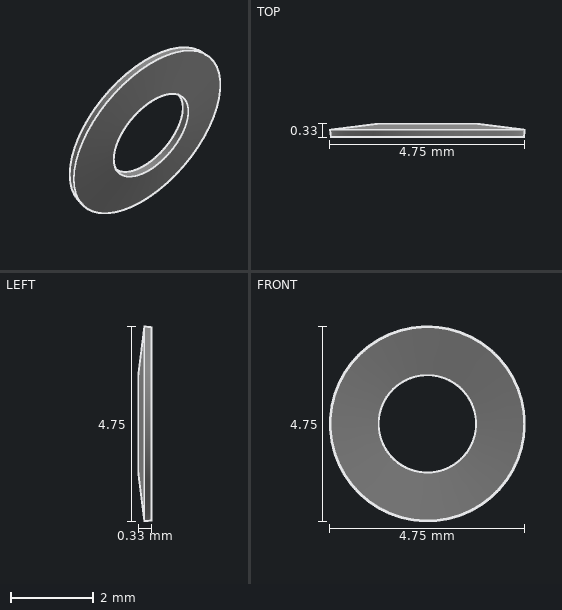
import cadquery as cq

outer_radius = 2.375
bore_radius = 1.185
total_height = 0.33
rim_height = 0.18

cone_rise = total_height - rim_height
cone_slope = cone_rise / (outer_radius - bore_radius)
edge_lean = rim_height * cone_slope

base_y = -total_height / 2
section = [
    (outer_radius - edge_lean, base_y),
    (outer_radius, base_y + rim_height),
    (bore_radius + edge_lean, base_y + total_height),
    (bore_radius, base_y + cone_rise),
]

result = cq.Workplane("XY").polyline(section).close().revolve(360, (0, 0, 0), (0, 1, 0))